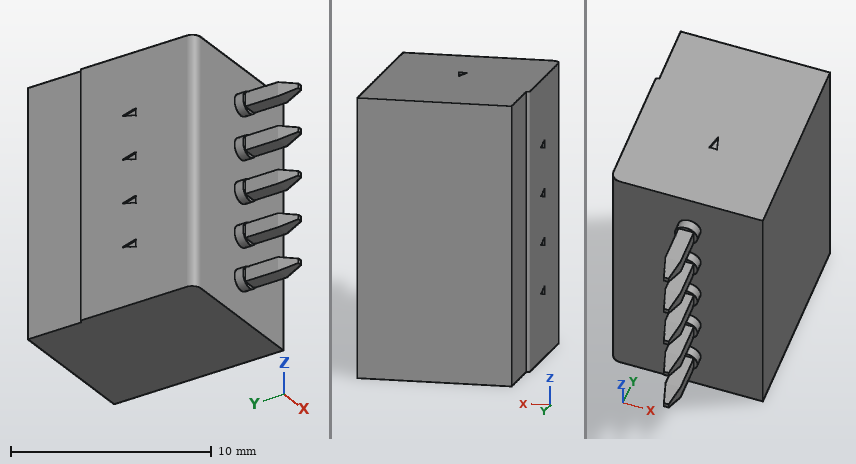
import cadquery as cq


width = 8.1
depth = 10.1
height = 14.4
step_depth = 0.17
step_length = 3.2
step_round = 0.16
front_round = 0.5

pin_count = 5
pin_pitch = 2.5
pin_x = 4.2
pin_size = 0.8
pin_reach = 3.5
collar_diameter = 1.2
collar_length = 0.5
taper_length = 1.04
tip_size = 0.26

arrow_length = 0.76
arrow_width = 0.4
arrow_base_y = 3.55
arrow_depth = 0.09


def centred_row(count, pitch):
    """Positions of a row of equally spaced items centred on zero."""
    return [(i - (count - 1) / 2) * pitch for i in range(count)]


def make_housing():
    """Block with a stepped left side, rounded at the step and at the front."""
    step_y = depth - step_length
    outline = (
        cq.Workplane("XY", origin=(0, 0, -height / 2))
        .moveTo(front_round, 0)
        .lineTo(width, 0)
        .lineTo(width, depth)
        .lineTo(step_depth, depth)
        .lineTo(step_depth, step_y)
        .lineTo(step_round, step_y)
        .radiusArc((0, step_y - step_round), -step_round)
        .lineTo(0, front_round)
        .radiusArc((front_round, 0), -front_round)
        .close()
    )
    return outline.extrude(height)


def make_pin(z):
    """Square pin with a round collar and a tapered tip, pointing along -Y."""
    front = cq.Workplane("XZ", origin=(pin_x, 0, z))
    shank_length = pin_reach - taper_length
    collar = front.circle(collar_diameter / 2).extrude(collar_length)
    shank = front.rect(pin_size, pin_size).extrude(shank_length)
    taper = (
        front.workplane(offset=shank_length)
        .rect(pin_size, pin_size)
        .workplane(offset=taper_length)
        .rect(tip_size, tip_size)
        .loft(ruled=True)
    )
    return collar.union(shank).union(taper)


def make_arrow(plane):
    """Triangular cutter sunk below a face; the plane's local Y runs to the arrow's point."""
    return (
        cq.Workplane(plane)
        .moveTo(-arrow_width / 2, 0)
        .lineTo(arrow_width / 2, 0)
        .lineTo(0, arrow_length)
        .close()
        .extrude(-arrow_depth)
    )


result = make_housing()

for z in centred_row(pin_count, pin_pitch):
    result = result.union(make_pin(z))

top_plane = cq.Plane(origin=(pin_x, arrow_base_y, height / 2), xDir=(1, 0, 0), normal=(0, 0, 1))
result = result.cut(make_arrow(top_plane))

for z in centred_row(pin_count - 1, pin_pitch):
    side_plane = cq.Plane(origin=(0, arrow_base_y, z), xDir=(0, 0, 1), normal=(-1, 0, 0))
    result = result.cut(make_arrow(side_plane))